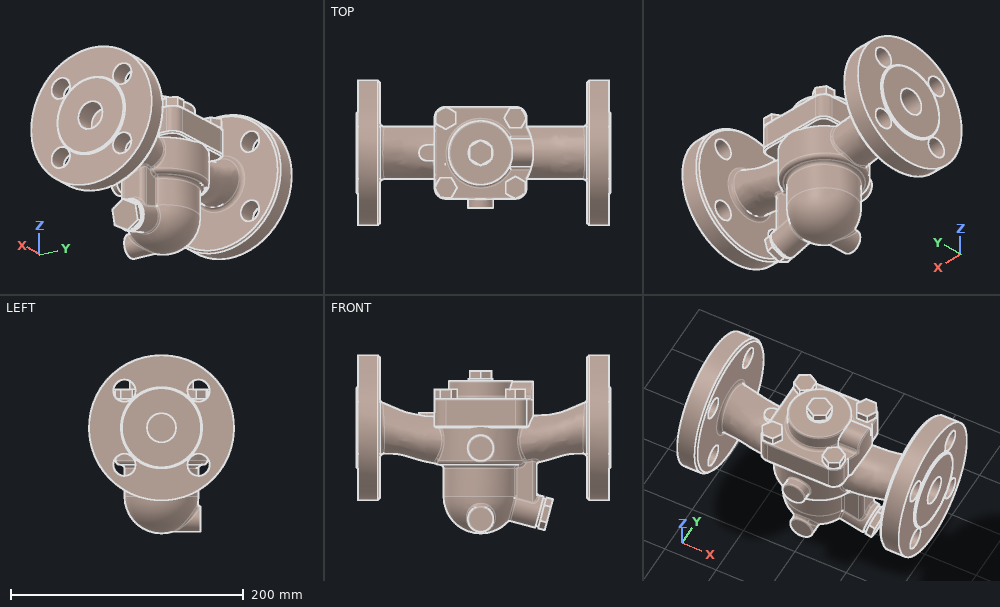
import cadquery as cq
import math

FACE_TO_FACE = 219.0
FLANGE_D = 125.0
FLANGE_T = 19.0
FLANGE_CHAMFER = 2.0
RAISED_FACE_D = 70.0
RAISED_FACE_T = 1.5
RAISED_FACE_CHAMFER = 1.0
BOLT_CIRCLE_D = 90.0
BOLT_HOLE_D = 19.0
BOLT_HOLE_COUNT = 4
FIRST_BOLT_HOLE_ANGLE = 45.0
BORE_D = 25.0
FLANGE_LENGTH = RAISED_FACE_T + FLANGE_T
BORE_DEPTH = FLANGE_LENGTH
FLANGE_BACK_X = FACE_TO_FACE / 2 - FLANGE_LENGTH

SEAM_MARGIN = 0.1

PIPE_D = 45.4
PIPE_SECTIONS = [
    (FLANGE_BACK_X, 0.0, PIPE_D),
    (71.5, -4.0, 38.5),
    (57.0, -8.0, 39.0),
    (38.0, -10.5, 42.0),
    (22.0, -11.0, 42.0),
]
PIPE_ROOT_FILLET = 3.5
PIPE_BODY_FILLET = 2.5

BODY_X = -2.5
BODY_R = 32.0
DOME_CENTER_Z = -59.0
BODY_STEP_Z = -35.0
UPPER_BODY_R = 39.5
UPPER_BODY_EDGE_Z = -28.0
UPPER_BODY_ROUND = 4.0
BODY_STEP_FILLET = UPPER_BODY_EDGE_Z - UPPER_BODY_ROUND - BODY_STEP_Z

PLATE_SIDE = 79.5
PLATE_CORNER_R = 10.0
PLATE_BOTTOM_Z = 0.0
JOINT_Z = 13.0
PLATE_TOP_Z = 25.0
PLATE_EDGE_ROUND = 1.0
PLATE_BOTTOM_CHAMFER = 1.5
BULGE_R = 45.5
COVER_D = 55.0
COVER_TOP_Z = 40.5
COVER_ROOT_FILLET = 2.5
COVER_TOP_ROUND = 1.0

CHANNEL_R = 12.0
CHANNEL_TOP_Z = 40.0
CHANNEL_END_ROUND = 1.0

TOP_HEX_FLATS = 19.0
TOP_HEX_TOP_Z = 49.0
TOP_HEX_COLLAR_D = 21.0
TOP_HEX_COLLAR_H = 1.5
BOLT_HEX_FLATS = 17.0
BOLT_HEX_H = 8.0
BOLT_OFFSET = 30.0
HEX_HALF_STEP = 30.0

TAB_W = 13.5
TAB_END_X = -55.5
TAB_BOTTOM_Z = -5.0

BOSS_D = 22.0
BOSS_END_ROUND = 0.8
UPPER_BOSS_ROOT_FILLET = 1.0
LOWER_BOSS_ROOT_FILLET = 2.5
UPPER_BOSS_Z = -17.5
UPPER_BOSS_Y = -47.6
LOWER_BOSS_Z = -78.5
LOWER_BOSS_Y = -33.6

RIB_W = 25.0
RIB_OUTER_X = 45.8
RIB_BOTTOM_Z = -66.0
RIB_TOP_Z = -20.0
RIB_ROUND = 4.0
RIB_ROOT_FILLET = 2.5
PLUG_TILT = 15.0
PLUG_ROOT_FILLET = 2.0
PLUG_BOSS_D = 28.0
PLUG_HEX_FLATS = 24.0
PLUG_HEX_H = 6.0
PLUG_COLLAR_D = 25.0
PLUG_COLLAR_H = 2.5
PLUG_SEAT = (50.5, 0.0, -73.2)
PLUG_BOSS_L = 45.0


def cylinder(diameter, length, origin, direction):
    """Cylinder starting at origin and running along direction."""
    start = cq.Vector(*origin)
    axis = cq.Vector(*direction)
    return cq.Workplane(obj=cq.Solid.makeCylinder(diameter / 2, length, start, axis))


def hex_head(flats, height, plane, turn):
    """Hexagonal prism on a plane; turn is the angle of its first corner."""
    corners_d = flats / math.cos(math.pi / 6)
    prism = cq.Workplane("XY").polygon(6, corners_d).extrude(height)
    prism = prism.rotate((0, 0, 0), (0, 0, 1), turn)
    return cq.Workplane(obj=prism.val().moved(cq.Location(plane)))


def box_between(low, high):
    """Selector for everything lying wholly inside a box given by two corners."""
    return cq.selectors.BoxSelector(low, high, boundingbox=True)


def make_flange():
    """Outlet flange with its raised face toward +X."""
    flange = cylinder(FLANGE_D, FLANGE_T, (FLANGE_BACK_X, 0, 0), (1, 0, 0))
    flange = flange.faces("<X").edges().chamfer(FLANGE_CHAMFER)
    face_x = FLANGE_BACK_X + FLANGE_T
    raised = cylinder(RAISED_FACE_D, RAISED_FACE_T, (face_x, 0, 0), (1, 0, 0))
    raised = raised.faces(">X").edges().chamfer(RAISED_FACE_CHAMFER)
    return flange.union(raised)


def make_pipe():
    """Outlet pipe bend, lofted through elliptical sections, with its flange."""
    first_x = PIPE_SECTIONS[0][0]
    loft = cq.Workplane("YZ", origin=(first_x, 0, 0))
    previous_x = first_x
    for x, z, height in PIPE_SECTIONS:
        loft = loft.workplane(offset=x - previous_x).center(0, z).ellipse(PIPE_D / 2, height / 2)
        loft = loft.center(0, -z)
        previous_x = x
    pipe = loft.loft(ruled=False)
    joined = make_flange().union(pipe)
    low = (FLANGE_BACK_X - SEAM_MARGIN, -PIPE_D, -PIPE_D)
    high = (FLANGE_BACK_X + SEAM_MARGIN, PIPE_D, PIPE_D)
    return joined.edges(box_between(low, high)).fillet(PIPE_ROOT_FILLET)


def make_body():
    """Revolved body: domed bowl stepping out to the wider upper body."""
    step_r = UPPER_BODY_R - UPPER_BODY_ROUND
    step_z = UPPER_BODY_EDGE_Z - UPPER_BODY_ROUND
    diagonal = math.sqrt(0.5)
    profile = (
        cq.Workplane("XZ", origin=(BODY_X, 0, 0))
        .moveTo(0, DOME_CENTER_Z - BODY_R)
        .threePointArc((BODY_R * diagonal, DOME_CENTER_Z - BODY_R * diagonal), (BODY_R, DOME_CENTER_Z))
        .lineTo(BODY_R, BODY_STEP_Z)
        .radiusArc((BODY_R + BODY_STEP_FILLET, BODY_STEP_Z + BODY_STEP_FILLET), BODY_STEP_FILLET)
        .lineTo(step_r, step_z)
        .radiusArc((UPPER_BODY_R, UPPER_BODY_EDGE_Z), -UPPER_BODY_ROUND)
        .lineTo(UPPER_BODY_R, JOINT_Z)
        .lineTo(0, JOINT_Z)
        .close()
    )
    return profile.revolve(360, (0, 0, 0), (0, 1, 0))


def make_plate(bottom_z, top_z):
    """Square plate with rounded corners and a round bulge on its +X side."""
    height = top_z - bottom_z
    base = cq.Workplane("XY", origin=(BODY_X, 0, bottom_z))
    plate = base.rect(PLATE_SIDE, PLATE_SIDE).extrude(height).edges("|Z").fillet(PLATE_CORNER_R)
    disc = base.circle(BULGE_R).extrude(height)
    half = base.center(BULGE_R / 2, 0).rect(BULGE_R, PLATE_SIDE - 2 * PLATE_CORNER_R).extrude(height)
    return plate.union(disc.intersect(half))


def make_cover():
    """Cover plate with its round cap and the channel rib running out to the bulge."""
    plate = make_plate(JOINT_Z, PLATE_TOP_Z).faces(">Z").edges().fillet(PLATE_EDGE_ROUND)
    channel_axis_z = CHANNEL_TOP_Z - CHANNEL_R
    channel = cylinder(2 * CHANNEL_R, BULGE_R, (BODY_X, 0, channel_axis_z), (1, 0, 0))
    foot_h = channel_axis_z - JOINT_Z
    foot = cq.Workplane("XY", origin=(BODY_X, 0, JOINT_Z)).rect(2 * BULGE_R, 2 * CHANNEL_R).extrude(foot_h)
    limit_h = CHANNEL_TOP_Z - JOINT_Z
    limit = cq.Workplane("XY", origin=(BODY_X, 0, JOINT_Z)).circle(BULGE_R).extrude(limit_h)
    right_half = cq.Workplane("XY", origin=(BODY_X + BULGE_R / 2, 0, JOINT_Z))
    right_half = right_half.rect(BULGE_R, 2 * BULGE_R).extrude(limit_h)
    channel = channel.union(foot).intersect(limit).intersect(right_half)
    channel = channel.faces(">X").edges().edges(">Z").fillet(CHANNEL_END_ROUND)
    cap_h = COVER_TOP_Z - JOINT_Z
    cap = cylinder(COVER_D, cap_h, (BODY_X, 0, JOINT_Z), (0, 0, 1))
    cap = cap.faces(">Z").edges().fillet(COVER_TOP_ROUND)
    cover = plate.union(cap).union(channel)
    reach = COVER_D / 2 + SEAM_MARGIN
    low = (BODY_X - reach, -reach, PLATE_TOP_Z - SEAM_MARGIN)
    high = (BODY_X + BULGE_R - CHANNEL_END_ROUND, reach, PLATE_TOP_Z + SEAM_MARGIN)
    return cover.edges(box_between(low, high)).fillet(COVER_ROOT_FILLET)


def make_bolts():
    """Four cover bolt heads, alternately turned by 30 degrees, and the central top plug."""
    collar = cylinder(TOP_HEX_COLLAR_D, TOP_HEX_COLLAR_H, (BODY_X, 0, COVER_TOP_Z), (0, 0, 1))
    hex_z = COVER_TOP_Z + TOP_HEX_COLLAR_H
    top_plane = cq.Plane(origin=(BODY_X, 0, hex_z))
    heads = collar.union(hex_head(TOP_HEX_FLATS, TOP_HEX_TOP_Z - hex_z, top_plane, HEX_HALF_STEP))
    for side_x in (-1, 1):
        for side_y in (-1, 1):
            turn = 0 if side_x == side_y else HEX_HALF_STEP
            seat = (BODY_X + side_x * BOLT_OFFSET, side_y * BOLT_OFFSET, PLATE_TOP_Z)
            heads = heads.union(hex_head(BOLT_HEX_FLATS, BOLT_HEX_H, cq.Plane(origin=seat), turn))
    return heads


def make_tab():
    """Round-ended tab reaching from the lower plate over the inlet pipe."""
    end_center_x = TAB_END_X + TAB_W / 2
    height = JOINT_Z - TAB_BOTTOM_Z
    length = BODY_X - end_center_x
    end = cylinder(TAB_W, height, (end_center_x, 0, TAB_BOTTOM_Z), (0, 0, 1))
    bar = cq.Workplane("XY").box(length, TAB_W, height, centered=(False, True, False))
    return end.union(bar.translate((end_center_x, 0, TAB_BOTTOM_Z)))


def join_front_boss(part, z, end_y, root_fillet):
    """Add a round boss running from the body axis out to end_y, with a fillet where it leaves the body."""
    boss = cylinder(BOSS_D, -end_y, (BODY_X, 0, z), (0, -1, 0))
    boss = boss.faces("<Y").edges().fillet(BOSS_END_ROUND)
    reach = BOSS_D / 2 + SEAM_MARGIN
    low = (BODY_X - reach, -UPPER_BODY_R - SEAM_MARGIN, z - reach)
    high = (BODY_X + reach, 0, z + reach)
    return part.union(boss).edges(box_between(low, high)).edges("%BSPLINE").fillet(root_fillet)


def join_pipe_bends(part):
    """Add both pipe bends with their flanges and fillet them into the upper body."""
    outlet = make_pipe()
    part = part.union(outlet).union(outlet.mirror("YZ"))
    for side in (-1, 1):
        inner_x = BODY_X + side * BODY_R / 2
        outer_x = BODY_X + side * (UPPER_BODY_R + SEAM_MARGIN)
        low = (min(inner_x, outer_x), -PIPE_D, BODY_STEP_Z - SEAM_MARGIN)
        high = (max(inner_x, outer_x), PIPE_D, JOINT_Z - SEAM_MARGIN)
        part = part.edges(box_between(low, high)).fillet(PIPE_BODY_FILLET)
    return part


def make_rib():
    """Vertical side rib joining the outlet pipe to the plug boss."""
    length = RIB_OUTER_X - BODY_X
    rib = cq.Workplane("XY").box(length, RIB_W, RIB_TOP_Z - RIB_BOTTOM_Z, centered=(False, True, False))
    rib = rib.edges("|Z and >X").fillet(RIB_ROUND)
    return rib.translate((BODY_X, 0, RIB_BOTTOM_Z))


def join_rib(part):
    """Add the side rib and fillet its vertical corners against the bowl."""
    part = part.union(make_rib())
    low = (BODY_X + BODY_R / 2, -RIB_W / 2 - SEAM_MARGIN, DOME_CENTER_Z - SEAM_MARGIN)
    high = (BODY_X + BODY_R, RIB_W / 2 + SEAM_MARGIN, BODY_STEP_Z + SEAM_MARGIN)
    return part.edges(box_between(low, high)).edges("|Z").edges("<X").fillet(RIB_ROOT_FILLET)


def join_plug(part):
    """Add the slanted boss, filleted into the bowl, with its collar and hexagonal plug."""
    tilt = math.radians(PLUG_TILT)
    axis = cq.Vector(math.cos(tilt), 0, -math.sin(tilt))
    seat = cq.Vector(*PLUG_SEAT)
    collar_start = seat - axis * PLUG_COLLAR_H
    boss_start = collar_start - axis * PLUG_BOSS_L
    boss = cylinder(PLUG_BOSS_D, PLUG_BOSS_L, boss_start.toTuple(), axis.toTuple())
    boss_r = PLUG_BOSS_D / 2
    low = (BODY_X + BODY_R / 2, -boss_r, DOME_CENTER_Z - BODY_R)
    high = (BODY_X + BODY_R + SEAM_MARGIN, boss_r, BODY_STEP_Z - SEAM_MARGIN)
    part = part.union(boss).edges(box_between(low, high)).edges("%BSPLINE").fillet(PLUG_ROOT_FILLET)
    collar = cylinder(PLUG_COLLAR_D, PLUG_COLLAR_H, collar_start.toTuple(), axis.toTuple())
    hex_plane = cq.Plane(origin=PLUG_SEAT, xDir=(0, 1, 0), normal=axis.toTuple())
    return part.union(collar).union(hex_head(PLUG_HEX_FLATS, PLUG_HEX_H, hex_plane, HEX_HALF_STEP))


def cut_flange_holes(part):
    """Drill the bolt holes of both flanges and the blind bores."""
    for side in (-1, 1):
        outer_x = side * FACE_TO_FACE / 2
        inward = (-side, 0, 0)
        part = part.cut(cylinder(BORE_D, BORE_DEPTH, (outer_x, 0, 0), inward))
        for index in range(BOLT_HOLE_COUNT):
            angle = math.radians(FIRST_BOLT_HOLE_ANGLE + index * 360 / BOLT_HOLE_COUNT)
            y = BOLT_CIRCLE_D / 2 * math.cos(angle)
            z = BOLT_CIRCLE_D / 2 * math.sin(angle)
            part = part.cut(cylinder(BOLT_HOLE_D, FLANGE_LENGTH, (outer_x, y, z), inward))
    return part


result = make_body()
result = join_front_boss(result, UPPER_BOSS_Z, UPPER_BOSS_Y, UPPER_BOSS_ROOT_FILLET)
result = join_front_boss(result, LOWER_BOSS_Z, LOWER_BOSS_Y, LOWER_BOSS_ROOT_FILLET)
result = join_plug(result)
result = join_pipe_bends(result)
result = join_rib(result)
lower_plate = make_plate(PLATE_BOTTOM_Z, JOINT_Z).faces("<Z").edges().chamfer(PLATE_BOTTOM_CHAMFER)
result = result.union(lower_plate).union(make_tab())
result = result.union(make_cover()).union(make_bolts())
result = cut_flange_holes(result)